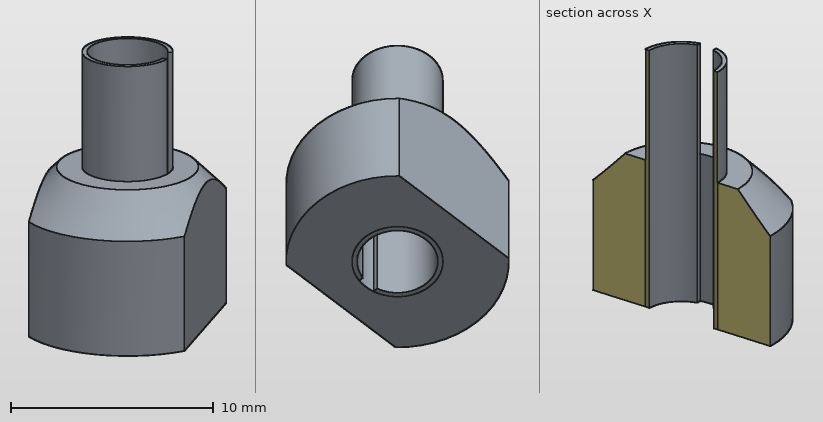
import cadquery as cq

total_height = 14.0
housing_diameter = 11.0
housing_width = 8.0
housing_height = 8.0
cone_height = 2.0

sleeve_outer_diameter = 4.5
sleeve_wall = 0.25
slit_width = 1.0


def make_housing():
    """Round body with a tapered top, two flats and a bore for the sleeve."""
    body = (
        cq.Workplane("XY")
        .circle(housing_diameter / 2)
        .extrude(housing_height)
        .faces(">Z")
        .chamfer(cone_height)
    )
    flats = cq.Workplane("XY").rect(housing_width, housing_diameter).extrude(housing_height)
    bore = cq.Workplane("XY").circle(sleeve_outer_diameter / 2).extrude(housing_height)
    return body.intersect(flats).cut(bore)


def make_sleeve():
    """Thin tube through the whole housing, slit along its +X side."""
    outer_radius = sleeve_outer_diameter / 2
    tube = (
        cq.Workplane("XY")
        .circle(outer_radius)
        .circle(outer_radius - sleeve_wall)
        .extrude(total_height)
    )
    slit = (
        cq.Workplane("XY")
        .center(outer_radius / 2, 0)
        .rect(outer_radius, slit_width)
        .extrude(total_height)
    )
    return tube.cut(slit)


housing = make_housing()
sleeve = make_sleeve()

result = cq.Compound.makeCompound([housing.solids().val(), sleeve.solids().val()])